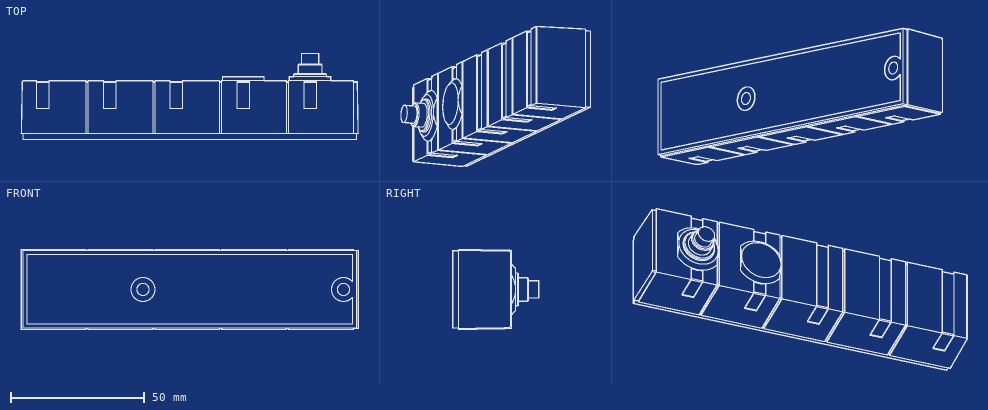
import cadquery as cq

length = 126.0
width = 30.0
base_thickness = 2.3
body_top = 22.0
draft_angle = 1.0
tile_thickness = 0.4
edge_chamfer = 0.4

base_inset_x = 0.6
base_inset_z = 0.5
rim_width = 1.5
recess_depth = 0.3

station_count = 5
hole_spacing = 75.0
pitch = hole_spacing / 3
last_port_x = 45.0
groove_width = 0.8
groove_offset = 8.5
slot_width = 4.7
slot_bottom = 11.7

hole_diameter = 4.5
hole_pad_diameter = 9.0
hole_depth = 12.6

dome_base_diameter = 19.0
dome_top_diameter = 15.6
dome_width = 15.6
dome_top = 23.5
dome_stations = (3, 4)

flange_diameter = 12.3
flange_top = 24.7
collar_diameter = 9.0
collar_top = 28.4
tip_diameter = 6.5
tip_top = 32.3
connector_chamfer = 0.4

port_x = [last_port_x - (station_count - 1 - i) * pitch for i in range(station_count)]
groove_x = [x - groove_offset for x in port_x[1:]]
last_tile_end = port_x[-1] - groove_offset + pitch - groove_width / 2
last_hole_x = port_x[-1] + pitch / 2
hole_x = [last_hole_x - hole_spacing, last_hole_x]


def plane_at(y):
    """Sketch plane at height y: sketch x is X, sketch y is Z, extrusion goes to +Y."""
    return cq.Workplane(cq.Plane(origin=(0, y, 0), xDir=(1, 0, 0), normal=(0, 1, 0)))


def box(x_min, x_max, y_min, y_max, z_size):
    """Box between the given X and Y limits, centred on Z = 0."""
    return (
        cq.Workplane("XY")
        .box(x_max - x_min, y_max - y_min, z_size)
        .translate(((x_min + x_max) / 2, (y_min + y_max) / 2, 0))
    )


def disc(x, y_min, y_max, diameter):
    """Round pin along Y."""
    return plane_at(y_min).center(x, 0).circle(diameter / 2).extrude(y_max - y_min)


def drafted_block(z_size, top):
    """Full-length block narrowing towards +Y."""
    height = top - base_thickness
    return plane_at(base_thickness).rect(length, z_size).extrude(height, taper=draft_angle)


def make_body():
    """Core block wrapped by raised tiles, parted by grooves and marker slots."""
    core = drafted_block(width - 2 * tile_thickness, body_top - tile_thickness)
    core = core.faces(">Y").edges("|X").chamfer(edge_chamfer)
    tiles = drafted_block(width, body_top).faces(">Y").edges("<X").chamfer(edge_chamfer)
    cut_width = 2 * width
    for x in groove_x:
        groove = box(x - groove_width / 2, x + groove_width / 2, 0, tip_top, cut_width)
        tiles = tiles.cut(groove)
    for x in port_x:
        slot = box(x - slot_width / 2, x + slot_width / 2, slot_bottom, tip_top, cut_width)
        tiles = tiles.cut(slot)
    bare_end = box(last_tile_end, length, 0, tip_top, cut_width)
    tiles = tiles.cut(bare_end)
    return core.union(tiles)


def make_base():
    """Base plate with a recessed panel and pads left standing around the holes."""
    base_length = length - 2 * base_inset_x
    base_width = width - 2 * base_inset_z
    base = box(-base_length / 2, base_length / 2, 0, base_thickness, base_width)
    panel_half = base_length / 2 - rim_width
    recess = box(-panel_half, panel_half, 0, recess_depth, base_width - 2 * rim_width)
    for x in hole_x:
        recess = recess.cut(disc(x, 0, recess_depth, hole_pad_diameter))
    return base.cut(recess)


def make_dome(x):
    """Low cone over a port, trimmed flat on its two X sides."""
    bottom = body_top - tile_thickness - edge_chamfer
    cone = (
        plane_at(body_top)
        .center(x, 0)
        .circle(dome_base_diameter / 2)
        .workplane(offset=dome_top - body_top)
        .circle(dome_top_diameter / 2)
        .loft()
    )
    cone = cone.union(disc(x, bottom, body_top, dome_base_diameter))
    return cone.intersect(box(x - dome_width / 2, x + dome_width / 2, 0, tip_top, width))


def make_connector(x):
    """Stepped round plug: flange, collar and tip."""
    flange = disc(x, dome_top, flange_top, flange_diameter)
    collar = disc(x, flange_top, collar_top, collar_diameter)
    flange = flange.faces(">Y").chamfer(connector_chamfer)
    collar = collar.faces(">Y").chamfer(connector_chamfer)
    return flange.union(collar).union(disc(x, collar_top, tip_top, tip_diameter))


result = make_body().union(make_base())
for station in dome_stations:
    result = result.union(make_dome(port_x[station]))
result = result.union(make_connector(port_x[-1]))
for x in hole_x:
    result = result.cut(disc(x, 0, hole_depth, hole_diameter))